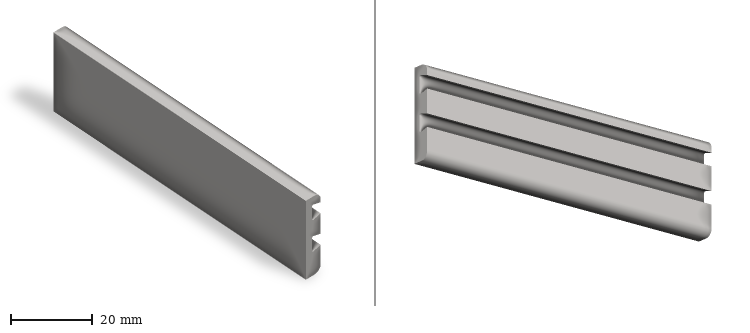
import cadquery as cq
import math

length = 90.0
thickness = 5.0
height = 25.0
back_edge_radius = 2.2

groove_depth = 3.0
groove_mouth = 3.5
flank_angle = math.radians(15)
floor_corner_radius = 0.45
groove_pitch = 10.0
upper_groove_drop = 5.0
groove_count = 2


def make_strip():
    """Rectangular strip with both long back edges rounded."""
    strip = cq.Workplane("XY").box(length, thickness, height)
    return strip.faces(">Y").edges("|X").fillet(back_edge_radius)


def make_groove(center_z):
    """Dovetail cutter that widens from the back face to its round-cornered floor."""
    back_y = thickness / 2
    floor_y = back_y - groove_depth
    half_mouth = groove_mouth / 2
    half_floor = half_mouth + groove_depth * math.tan(flank_angle)
    return (
        cq.Workplane("YZ")
        .polyline([
            (back_y, center_z - half_mouth),
            (back_y, center_z + half_mouth),
            (floor_y, center_z + half_floor),
            (floor_y, center_z - half_floor),
        ])
        .close()
        .extrude(length / 2, both=True)
        .faces("<Y")
        .edges("|X")
        .fillet(floor_corner_radius)
    )


result = make_strip()
for index in range(groove_count):
    groove_z = height / 2 - upper_groove_drop - index * groove_pitch
    result = result.cut(make_groove(groove_z))